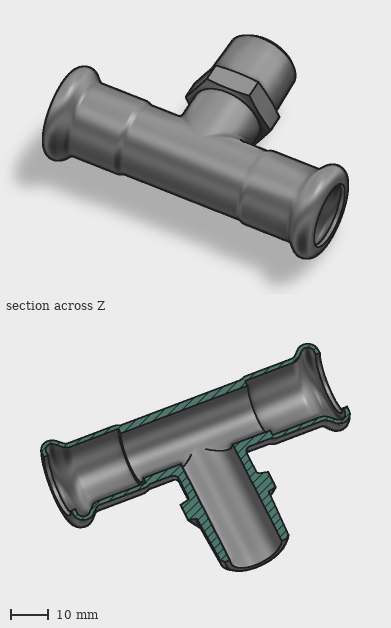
import cadquery as cq
import math

length = 80.0
half_length = length / 2
body_radius = 19.8 / 2
socket_radius = 21.0 / 2
bead_outer_radius = 26.5 / 2
bead_tube_radius = 3.0
bead_center_radius = bead_outer_radius - bead_tube_radius
bead_root_fillet = 1.9
socket_length = 20.8
step_length = 2.2
socket_wall = 1.4
socket_bore_radius = socket_radius - socket_wall
mouth_radius = 9.0
bore_radius = 7.4
socket_depth = 21.6
lip_thickness = 1.3

overall_width = 53.2
branch_length = overall_width - bead_outer_radius
thread_start = 24.6
thread_base_radius = 21.0 / 2
thread_end_radius = body_radius
thread_chamfer = 1.0
crotch_fillet = 1.5

hex_flats = 22.0
hex_corner_radius = hex_flats / math.sqrt(3)
hex_start = 18.5
hex_chamfer_height = 0.5
hex_face_radius = 10.7
hex_neck_height = 0.4


def end_profile_at(depth, radius):
    """Point on the left socket profile, measured inward from its end face."""
    return (depth - half_length, radius)


def bead_profile(tube_radius, root_radius, root_fillet):
    """Points of a bead arc, its 45-degree flank and the fillet onto the socket.

    Returns the crest, the end of the arc, the end of the flank,
    the middle of the fillet and the end of the fillet.
    """
    diagonal = math.sqrt(0.5)
    arc_end_depth = bead_tube_radius + tube_radius * diagonal
    arc_end_radius = bead_center_radius + tube_radius * diagonal
    flank_end_radius = root_radius + root_fillet * (1 - diagonal)
    flank_end_depth = arc_end_depth + arc_end_radius - flank_end_radius
    fillet_end_depth = flank_end_depth + root_fillet * diagonal
    middle = math.radians(45 / 2)
    return (
        end_profile_at(bead_tube_radius, bead_center_radius + tube_radius),
        end_profile_at(arc_end_depth, arc_end_radius),
        end_profile_at(flank_end_depth, flank_end_radius),
        end_profile_at(
            fillet_end_depth - root_fillet * math.sin(middle),
            root_radius + root_fillet * (1 - math.cos(middle)),
        ),
        end_profile_at(fillet_end_depth, root_radius),
    )


def both_ends(left_half):
    return left_half.union(left_half.mirror("YZ"))


def revolve_about_x(outline):
    return outline.close().revolve(360, (0, 0, 0), (1, 0, 0))


def run_outside():
    crest, arc_end, flank_end, fillet_middle, fillet_end = bead_profile(
        bead_tube_radius, socket_radius, bead_root_fillet
    )
    bead_start = end_profile_at(0, bead_center_radius)
    step_start = end_profile_at(socket_length, socket_radius)
    step_end = end_profile_at(socket_length + step_length, body_radius)
    step_middle = ((step_start[0] + step_end[0]) / 2, (socket_radius + body_radius) / 2)
    outline = (
        cq.Workplane("XY")
        .moveTo(-half_length, 0)
        .lineTo(*bead_start)
        .threePointArc(crest, arc_end)
        .lineTo(*flank_end)
        .threePointArc(fillet_middle, fillet_end)
        .lineTo(*step_start)
        .tangentArcPoint(step_middle, relative=False)
        .threePointArc(step_arc_middle(step_middle, step_end), step_end)
        .lineTo(0, body_radius)
        .lineTo(0, 0)
    )
    return both_ends(revolve_about_x(outline))


def step_arc_middle(start, end):
    """Middle of the arc from start that runs out parallel to X at end."""
    width = end[0] - start[0]
    height = start[1] - end[1]
    radius = (width**2 + height**2) / (2 * height)
    half_angle = math.asin(width / radius) / 2
    return (end[0] - radius * math.sin(half_angle), end[1] + radius * (1 - math.cos(half_angle)))


def run_bore():
    """Socket bores with a seal groove inside each bead, and the through bore."""
    crest, arc_end, flank_end, fillet_middle, fillet_end = bead_profile(
        bead_tube_radius - lip_thickness, socket_bore_radius, bead_root_fillet + lip_thickness
    )
    groove_start = end_profile_at(lip_thickness, bead_center_radius)
    outline = (
        cq.Workplane("XY")
        .moveTo(-half_length, 0)
        .lineTo(-half_length, mouth_radius)
        .lineTo(*end_profile_at(lip_thickness, mouth_radius))
        .lineTo(*groove_start)
        .threePointArc(crest, arc_end)
        .lineTo(*flank_end)
        .threePointArc(fillet_middle, fillet_end)
        .lineTo(*end_profile_at(socket_depth, socket_bore_radius))
        .lineTo(*end_profile_at(socket_depth, bore_radius))
        .lineTo(0, bore_radius)
        .lineTo(0, 0)
    )
    return both_ends(revolve_about_x(outline))


def branch_thread():
    """Tapered thread envelope with a chamfered tip."""
    return (
        cq.Workplane("XY")
        .moveTo(0, hex_start)
        .lineTo(thread_base_radius, hex_start)
        .lineTo(thread_base_radius, thread_start)
        .lineTo(thread_end_radius, branch_length - thread_chamfer)
        .lineTo(thread_end_radius - thread_chamfer, branch_length)
        .lineTo(0, branch_length)
        .close()
        .revolve(360, (0, 0, 0), (0, 1, 0))
    )


def branch_hexagon():
    """Hexagon with corners on X, chamfered on both faces, and its short neck."""
    corners = [
        (hex_corner_radius * math.cos(i * math.pi / 3), hex_corner_radius * math.sin(i * math.pi / 3))
        for i in range(6)
    ]
    prism = (
        cq.Workplane("XZ", origin=(0, thread_start, 0))
        .polyline(corners)
        .close()
        .extrude(thread_start - hex_start + hex_neck_height)
    )
    envelope = (
        cq.Workplane("XY")
        .moveTo(0, hex_start - hex_neck_height)
        .lineTo(body_radius, hex_start - hex_neck_height)
        .lineTo(hex_face_radius, hex_start)
        .lineTo(hex_corner_radius, hex_start + hex_chamfer_height)
        .lineTo(hex_corner_radius, thread_start - hex_chamfer_height)
        .lineTo(hex_face_radius, thread_start)
        .lineTo(0, thread_start)
        .close()
        .revolve(360, (0, 0, 0), (0, 1, 0))
    )
    return prism.intersect(envelope)


def cylinder_along_y(radius, end):
    return cq.Workplane("XZ").circle(radius).extrude(-end)


def filleted_tee():
    """Run and plain branch, with the crotch edges between them rounded.

    The equal cylinders meet in ellipse arcs, which are the only ellipses here.
    """
    tee = run_outside().union(cylinder_along_y(body_radius, hex_start))
    crotch_edges = tee.edges("%ELLIPSE")
    return crotch_edges.fillet(crotch_fillet)


result = (
    filleted_tee()
    .union(branch_hexagon())
    .union(branch_thread())
    .cut(run_bore())
    .cut(cylinder_along_y(bore_radius, branch_length))
)